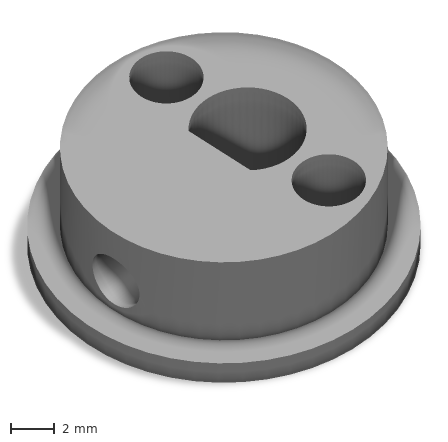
import cadquery as cq

flange_diameter = 18
flange_thickness = 1.25
body_diameter = 15.0
total_height = 6.25

row_y = 1.62
shaft_diameter = 5.4
shaft_flat_offset = 1.9
pin_hole_diameter = 3.4
pin_hole_spacing = 10.0

screw_hole_diameter = 2.9
screw_hole_z = total_height / 2


def make_body():
    flange = cq.Workplane("XY").circle(flange_diameter / 2).extrude(flange_thickness)
    boss = cq.Workplane("XY").circle(body_diameter / 2).extrude(total_height)
    return flange.union(boss)


def make_shaft_bore():
    """D-shaped bore with its flat on the -Y side."""
    bore = cq.Workplane("XY").center(0, row_y).circle(shaft_diameter / 2).extrude(total_height)
    keep_above_flat = (
        cq.Workplane("XY", origin=(0, row_y - shaft_flat_offset, 0))
        .rect(shaft_diameter, 2 * shaft_diameter)
        .extrude(total_height)
        .translate((0, shaft_diameter, 0))
    )
    return bore.intersect(keep_above_flat)


def make_pin_holes():
    half_spacing = pin_hole_spacing / 2
    return (
        cq.Workplane("XY")
        .pushPoints([(-half_spacing, row_y), (half_spacing, row_y)])
        .circle(pin_hole_diameter / 2)
        .extrude(total_height)
    )


def make_screw_hole():
    """Hole from the -Y side that opens into the shaft bore."""
    outer_y = -flange_diameter / 2
    length = row_y - outer_y
    return (
        cq.Workplane("XZ", origin=(0, outer_y, screw_hole_z))
        .circle(screw_hole_diameter / 2)
        .extrude(-length)
    )


result = make_body().cut(make_shaft_bore()).cut(make_pin_holes()).cut(make_screw_hole())